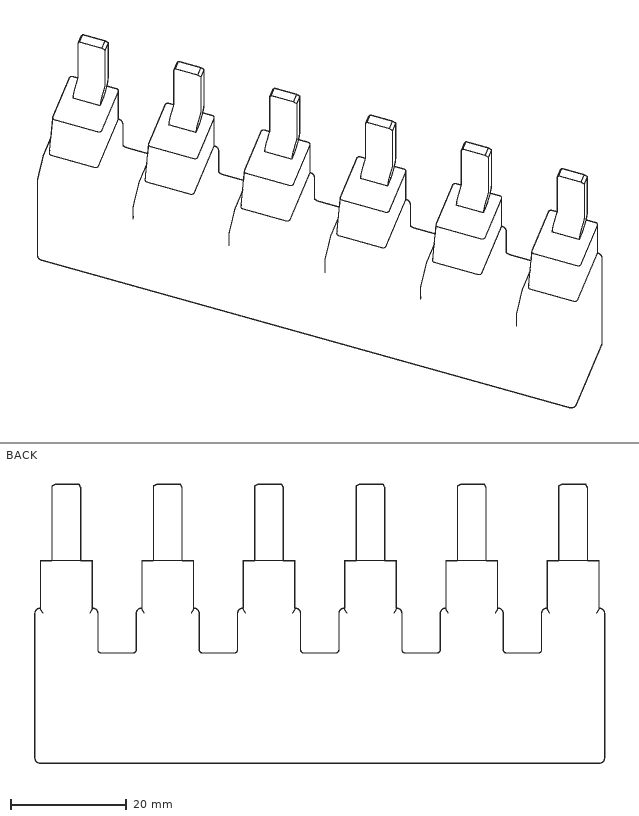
import cadquery as cq
import math

STATION_COUNT = 6
STATION_PITCH = 17.6

SHOULDER_WIDTH = 11.0
HOUSING_LENGTH = (STATION_COUNT - 1) * STATION_PITCH + SHOULDER_WIDTH
HOUSING_DEPTH = 15.5
SHOULDER_HEIGHT = 27.0
FRONT_CHAMFER = 3.6
EDGE_RADIUS = 1.0

SLOT_WIDTH = STATION_PITCH - SHOULDER_WIDTH
SLOT_FLOOR_HEIGHT = 19.2
SLOT_CORNER_RADIUS = 0.5

BLOCK_WIDTH = 9.0
BLOCK_TOP_HEIGHT = 35.2
BLOCK_BASE_DEPTH = 11.6
BLOCK_TOP_DEPTH = 9.8
BLOCK_CORNER_RADIUS = 0.5
BLOCK_ROOT_HEIGHT = SHOULDER_HEIGHT - EDGE_RADIUS

PIN_WIDTH = 5.0
PIN_THICKNESS = 1.7
PIN_TOP_HEIGHT = 48.5
PIN_TIP_CHAMFER_WIDTH = 0.3
PIN_TIP_CHAMFER_HEIGHT = 0.6
PIN_BEND_HEIGHT = 37.6
PIN_FOOT_DEPTH = 4.4
PIN_FOOT_ROOT_HEIGHT = 33.0
PIN_LEG_SLOPE_ANGLE = 30.0
PIN_INNER_BEND_RADIUS = 0.5
PIN_OUTER_BEND_RADIUS = PIN_INNER_BEND_RADIUS + PIN_THICKNESS


def side_profile(points, width):
    """Extrude a (depth, height) outline symmetrically about X = 0."""
    outline = [(-depth, height) for depth, height in points]
    return cq.Workplane("YZ").polyline(outline).close().extrude(width / 2, both=True)


def station_positions():
    first = -(STATION_COUNT - 1) * STATION_PITCH / 2
    return [first + index * STATION_PITCH for index in range(STATION_COUNT)]


def make_housing():
    """Long box with a chamfered front top edge, slotted between the stations and rounded all over."""
    housing = side_profile(
        [
            (0, 0),
            (HOUSING_DEPTH, 0),
            (HOUSING_DEPTH, SHOULDER_HEIGHT - FRONT_CHAMFER),
            (HOUSING_DEPTH - FRONT_CHAMFER, SHOULDER_HEIGHT),
            (0, SHOULDER_HEIGHT),
        ],
        HOUSING_LENGTH,
    )
    slot_depth = SHOULDER_HEIGHT - SLOT_FLOOR_HEIGHT
    slot = (
        cq.Workplane("XY")
        .box(SLOT_WIDTH, HOUSING_DEPTH, 2 * slot_depth)
        .edges("|Y")
        .fillet(SLOT_CORNER_RADIUS)
        .translate((STATION_PITCH / 2, -HOUSING_DEPTH / 2, SHOULDER_HEIGHT))
    )
    for x in station_positions()[:-1]:
        housing = housing.cut(slot.translate((x, 0, 0)))
    slot_corner_edges = cq.selectors.BoxSelector(
        (-HOUSING_LENGTH / 2 + EDGE_RADIUS, -HOUSING_DEPTH + EDGE_RADIUS, EDGE_RADIUS),
        (HOUSING_LENGTH / 2 - EDGE_RADIUS, -EDGE_RADIUS, SHOULDER_HEIGHT - FRONT_CHAMFER),
    )
    outer_edges = cq.selectors.SubtractSelector(cq.selectors.Selector(), slot_corner_edges)
    return housing.edges(outer_edges).fillet(EDGE_RADIUS)


def make_block():
    """Block with a sloping front face and rounded upright corners."""
    slope = (BLOCK_BASE_DEPTH - BLOCK_TOP_DEPTH) / (BLOCK_TOP_HEIGHT - SHOULDER_HEIGHT)
    root_depth = BLOCK_BASE_DEPTH + slope * (SHOULDER_HEIGHT - BLOCK_ROOT_HEIGHT)
    block = side_profile(
        [
            (0, BLOCK_ROOT_HEIGHT),
            (root_depth, BLOCK_ROOT_HEIGHT),
            (BLOCK_TOP_DEPTH, BLOCK_TOP_HEIGHT),
            (0, BLOCK_TOP_HEIGHT),
        ],
        BLOCK_WIDTH,
    )
    return block.edges("not(|X or |Y)").fillet(BLOCK_CORNER_RADIUS)


def make_pin():
    """Strip of constant thickness with two opposite bends and a chamfered tip."""
    leg_slope = math.tan(math.radians(PIN_LEG_SLOPE_ANGLE))
    half_bend_angle = math.radians(90 - PIN_LEG_SLOPE_ANGLE) / 2
    bend_offset = PIN_THICKNESS * math.tan(half_bend_angle)
    blade_front_corner = (PIN_THICKNESS, PIN_BEND_HEIGHT)
    blade_back_corner = (0, PIN_BEND_HEIGHT - bend_offset)
    foot_front_height = PIN_BEND_HEIGHT - (PIN_FOOT_DEPTH - PIN_THICKNESS) * leg_slope
    foot_front_corner = (PIN_FOOT_DEPTH, foot_front_height)
    foot_back_corner = (PIN_FOOT_DEPTH - PIN_THICKNESS, foot_front_height - bend_offset)
    pin = side_profile(
        [
            (0, PIN_TOP_HEIGHT),
            blade_back_corner,
            foot_back_corner,
            (PIN_FOOT_DEPTH - PIN_THICKNESS, PIN_FOOT_ROOT_HEIGHT),
            (PIN_FOOT_DEPTH, PIN_FOOT_ROOT_HEIGHT),
            foot_front_corner,
            blade_front_corner,
            (PIN_THICKNESS, PIN_TOP_HEIGHT),
        ],
        PIN_WIDTH,
    )
    bends = [
        (blade_front_corner, PIN_INNER_BEND_RADIUS),
        (blade_back_corner, PIN_OUTER_BEND_RADIUS),
        (foot_front_corner, PIN_OUTER_BEND_RADIUS),
        (foot_back_corner, PIN_INNER_BEND_RADIUS),
    ]
    for (depth, height), radius in bends:
        bend_edge = cq.selectors.NearestToPointSelector((0, -depth, height))
        pin = pin.edges("|X").edges(bend_edge).fillet(radius)
    tip = (
        cq.Workplane("XZ")
        .rect(PIN_WIDTH, 2 * PIN_TOP_HEIGHT)
        .extrude(PIN_FOOT_DEPTH)
        .faces(">Z")
        .edges("|Y")
        .chamfer(PIN_TIP_CHAMFER_WIDTH, PIN_TIP_CHAMFER_HEIGHT)
    )
    return pin.intersect(tip)


station = make_block().union(make_pin())
result = make_housing()
for station_x in station_positions():
    result = result.union(station.translate((station_x, 0, 0)))